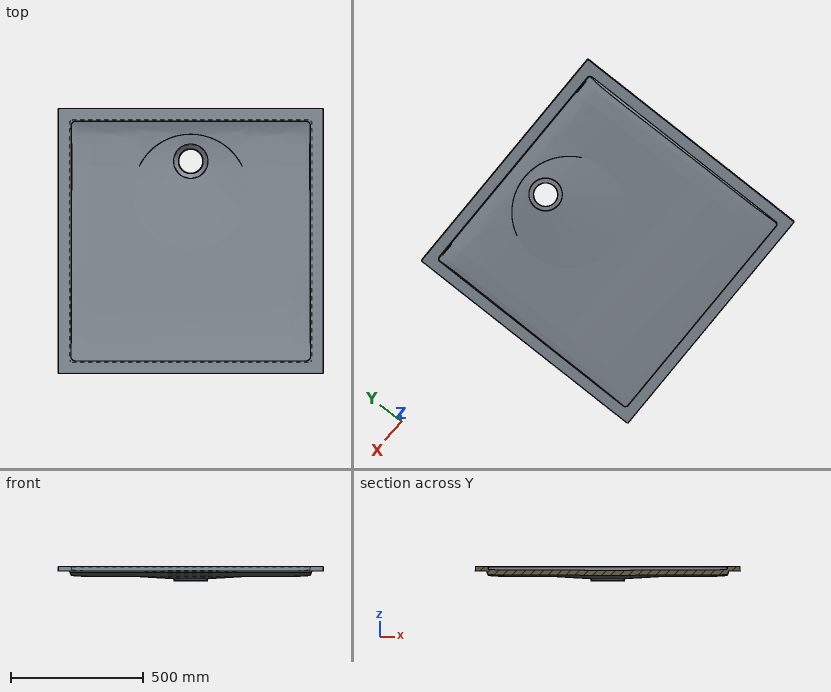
import cadquery as cq

SIZE = 1000.0
TOTAL_HEIGHT = 55.0
RIM_THICKNESS = 18.0
RIM_EDGE_RADIUS = 4.0
FLOOR_THICKNESS = 21.0

RIM_WIDTH = 48.0
BASIN_SIZE = SIZE - 2 * RIM_WIDTH
BASIN_HALF = BASIN_SIZE / 2
BASIN_CORNER_RADIUS = 18.0
WALL_DRAFT = 15.0
UNDERSIDE_SIZE = BASIN_SIZE + 20.0
UNDERSIDE_DRAFT = 25.0

FLOOR_EDGE_DEPTH = 2.0
FRONT_EDGE_SLOPE = 0.1
FRONT_KNEE = (-380.0, 8.0)
FRONT_BEND_Y = -99.0
FRONT_BEND_DEPTH = 12.0
BACK_BEND_Y = 284.0
BACK_BEND_DEPTH = 18.0
BACK_KNEES = [(330.0, 18.0), (370.0, 17.0), (410.0, 14.0)]
BACK_EDGE_SLOPE = 0.4
FLOOR_SLOPE = (BACK_BEND_DEPTH - FRONT_BEND_DEPTH) / (BACK_BEND_Y - FRONT_BEND_Y)

FLOOR_STATIONS = [(377.0, 1.0), (430.0, 0.88), (BASIN_HALF + 10.0, 0.65)]

DISH_RADIUS = 217.0
DISH_Y = 186.0

DRAIN_Y = 301.0
DRAIN_RIM_DEPTH = 26.0
DRAIN_RIM_RADIUS = 65.0
DRAIN_BEVEL = 5.0
DRAIN_SEAT_DEPTH = 47.0
DRAIN_SEAT_RADIUS = 47.0
DRAIN_HOLE_RADIUS = 45.0
DRAIN_BOSS_RADIUS = 63.0

CLEARANCE = 10.0


def floor_section(x, depth_factor, drop, cap_z):
    """Closed YZ section between the floor line, lowered by drop, and a flat cap."""
    end_y = BASIN_HALF + CLEARANCE

    def point(y, depth):
        return (y, -depth * depth_factor - drop)

    slope = (1.0, -FLOOR_SLOPE * depth_factor)
    front_edge = point(-BASIN_HALF, FLOOR_EDGE_DEPTH)
    front_bend = point(FRONT_BEND_Y, FRONT_BEND_DEPTH)
    back_bend = point(BACK_BEND_Y, BACK_BEND_DEPTH)
    back_edge = point(BASIN_HALF, FLOOR_EDGE_DEPTH)
    back_knees = [point(*knee) for knee in BACK_KNEES]
    front_tangent = (1.0, -FRONT_EDGE_SLOPE * depth_factor)
    back_tangent = (1.0, BACK_EDGE_SLOPE * depth_factor)
    return (
        cq.Workplane("YZ", origin=(x, 0, 0))
        .moveTo(-end_y, cap_z)
        .lineTo(-end_y, front_edge[1])
        .lineTo(*front_edge)
        .spline([point(*FRONT_KNEE), front_bend], tangents=[front_tangent, slope], includeCurrent=True)
        .lineTo(*back_bend)
        .spline(back_knees + [back_edge], tangents=[slope, back_tangent], includeCurrent=True)
        .lineTo(end_y, back_edge[1])
        .lineTo(end_y, cap_z)
        .close()
        .wire()
        .val()
    )


def space_above_floor(drop, cap_z):
    """Volume above the floor, flat across the middle and rising toward both sides."""
    sides = [(-x, factor) for x, factor in reversed(FLOOR_STATIONS)] + FLOOR_STATIONS
    sections = [floor_section(x, factor, drop, cap_z) for x, factor in sides]
    return cq.Workplane(cq.Solid.makeLoft(sections, True))


def drafted_block(size, top_z, height, draft):
    """Rounded square block that narrows downward."""
    return (
        cq.Workplane("XY", origin=(0, 0, top_z))
        .sketch()
        .rect(size, size)
        .vertices()
        .fillet(BASIN_CORNER_RADIUS)
        .finalize()
        .extrude(-height, taper=draft)
    )


def rim_slab():
    slab = cq.Workplane("XY").box(SIZE, SIZE, RIM_THICKNESS, centered=(True, True, False))
    slab = slab.translate((0, 0, -RIM_THICKNESS))
    return slab.edges("|Z or >Z").fillet(RIM_EDGE_RADIUS)


def dish_circle(radius, y, depth, slope):
    """Circle tilted about X to the given slope, with its seam toward the front."""
    plane = cq.Plane(origin=(0, y, -depth), xDir=(0, -1, slope), normal=(0, slope, 1))
    return cq.Workplane(plane).circle(radius).wire().val()


def dish(drop):
    """Eccentric cone from the drain rim to a circle lying on the sloping floor.

    The outer circle continues straight up so that it passes the floor where it curves up at the back.
    """
    depth = FRONT_BEND_DEPTH + FLOOR_SLOPE * (DISH_Y - FRONT_BEND_Y) + drop
    outer = dish_circle(DISH_RADIUS, DISH_Y, depth, FLOOR_SLOPE)
    inner = dish_circle(DRAIN_RIM_RADIUS, DRAIN_Y, DRAIN_RIM_DEPTH + drop, 0)
    raised = outer.translate(cq.Vector(0, 0, CLEARANCE))
    return cq.Workplane(cq.Solid.makeLoft([inner, outer, raised], True))


def drain_boss():
    height = TOTAL_HEIGHT - DRAIN_RIM_DEPTH - DRAIN_BEVEL
    return cq.Workplane("XY", origin=(0, DRAIN_Y, -TOTAL_HEIGHT)).circle(DRAIN_BOSS_RADIUS).extrude(height)


def drain_opening():
    """Bevelled conical seat above a slightly tapered through hole."""
    bevel_radius = DRAIN_RIM_RADIUS - DRAIN_BEVEL
    profile = [
        (0, -DRAIN_RIM_DEPTH),
        (DRAIN_RIM_RADIUS, -DRAIN_RIM_DEPTH),
        (bevel_radius, -DRAIN_RIM_DEPTH - DRAIN_BEVEL),
        (DRAIN_SEAT_RADIUS, -DRAIN_SEAT_DEPTH),
        (DRAIN_HOLE_RADIUS, -TOTAL_HEIGHT),
        (DRAIN_HOLE_RADIUS, -TOTAL_HEIGHT - CLEARANCE),
        (0, -TOTAL_HEIGHT - CLEARANCE),
    ]
    opening = cq.Workplane("XZ").polyline(profile).close().revolve(360, (0, 0, 0), (0, 1, 0))
    return opening.translate((0, DRAIN_Y, 0))


underside_top = -RIM_THICKNESS / 2
underside = drafted_block(UNDERSIDE_SIZE, underside_top, TOTAL_HEIGHT, UNDERSIDE_DRAFT).intersect(
    space_above_floor(FLOOR_THICKNESS, underside_top)
)
basin = drafted_block(BASIN_SIZE, 0, TOTAL_HEIGHT, WALL_DRAFT).intersect(space_above_floor(0, CLEARANCE))

body = rim_slab().union(underside).union(dish(FLOOR_THICKNESS)).union(drain_boss())
result = body.cut(basin).cut(dish(0)).cut(drain_opening())